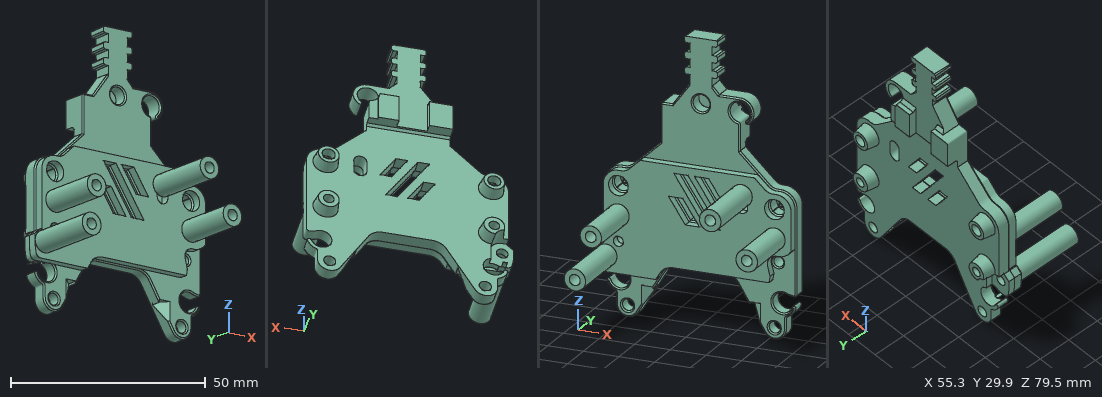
import cadquery as cq
import math

cover_thickness = 2.5
frame_thickness = 3.9
shoulder_thickness = 5.1
back_y = 7.4
edge_chamfer = 0.4
through = 23.8

side_x = 26.8
side_bottom_z = 12.15
corner_top_z = 41.25
corner_radius = 4.6
inner_corner_radius = 3.2
small_round = 0.6
waist_x = 20.1
torso_x = 10.9
torso_left_x = -11.3
torso_bottom_left_z = 49.35
torso_bottom_right_z = 50.1
shoulder_x = -8.0
shoulder_z = 60.2
right_shoulder_x = 5.1
neck_half_width = 3.1
neck_bottom_z = 66.8
total_height = 79.45

neck_root_z = neck_bottom_z - 0.8
neck_lean = 2
tooth_tops = [total_height, 75.1, 70.9]
tooth_height = 2.0
tooth_reach = 1.5
tooth_chamfer = 0.4

foot_x = 20.6
foot_radius = 3.25
foot_z = foot_radius
ankle_z = 6.75
leg_angle = math.radians(58.6)
arch_z = 16.0
arch_radius = 4.4

hook_bore_radius = 2.8
hook_outer_radius = 3.9
lower_hook_x = 22.8
lower_hook_z = 10.3
hook_mouth_x = 24.15
hook_mouth_z = 12.7
hook_mouth_round = 0.8
upper_hook_x = 10.8
upper_hook_z = 60.8

hole_x_left = -22.1
hole_x_right = 21.7
upper_hole_z = 36.6
lower_hole_z = 21.4
boss_base_diameter = 6.7
boss_tip_diameter = 5.5
screw_diameter = 3.4
pocket_diameter = 4.7
pocket_depth = 4
bridge_step = 0.3
small_hole_diameter = 2.8
foot_hole_diameter = 3.2
magnet_z = 61.6

standoff_diameter = 6.0
standoff_bore = 3.0
long_standoff = 20.0
short_standoff = 17.65
short_standoff_z = 28.6
corner_standoff = (-25.5, 17.1)
slot_standoff = (12.5, 39.1)
slot_bottom_z = 35.9

jut_x = corner_standoff[0] - standoff_diameter / 2
jut_thickness = 2.0
jut_bottom_z = 12.5
jut_top_z = 20.35
jut_inner_x = -24.6
jut_slope = 1.5
jut_bottom_corner = (jut_x + 0.5, jut_bottom_z)
jut_straight = 1.6
jut_corner = 1.4
relief_radius = 3.4

stop_bottom_z = 52.05
stop_top_z = 60.2
stop_left_x = -4.9
stop_right_x = 3.1
stop_end_x = 8.5
stop_step = 0.7
stop_ramp = 0.95
stop_fillet = 0.6

bevel_x = 16.7
bevel_top_z = 9.3
bevel_depth = 3.2

cover_top_x = 16.05
cover_top_z = 44.5
cover_waist_x = waist_x - 0.15

window_top_z = 42.35
window_bottom_z = 28.7
window_width = 4
window_lean = 0.66
window_pitch = 5.8
window_left_x = -6.5
short_window_height = 7.15


def slab(points, y_front, y_back):
    """A flat plate with an outline in X and Z, between two Y values."""
    outline = cq.Workplane("XZ", origin=(0, y_front, 0)).polyline(points).close()
    return outline.extrude(y_front - y_back)


def rod(center, diameter, y_front, y_back):
    """A cylinder along Y."""
    circle = cq.Workplane("XZ", origin=(0, y_front, 0)).center(*center).circle(diameter / 2)
    return circle.extrude(y_front - y_back)


def block(x_range, y_range, z_range):
    """An axis-aligned box between pairs of limits."""
    (x0, x1), (y0, y1), (z0, z1) = x_range, y_range, z_range
    return cq.Workplane("XY").box(x1 - x0, y1 - y0, z1 - z0, False).translate((x0, y0, z0))


def bore(center, diameter):
    """A cutter for a hole through every layer."""
    return rod(center, diameter, -through, through)


def round_corner(body, corner, y, radius):
    """Fillet the edge along Y that runs through a corner of the outline."""
    nearest = cq.NearestToPointSelector((corner[0], y, corner[1]))
    return body.edges("|Y").edges(nearest).fillet(radius)


def chamfered_bore(center, diameter, y_back):
    """A cutter for a hole with a chamfer at the frame's front face."""
    funnel = (
        cq.Workplane("XZ")
        .center(*center)
        .circle(diameter / 2 + edge_chamfer)
        .workplane(offset=-edge_chamfer)
        .circle(diameter / 2)
        .loft()
    )
    return rod(center, diameter, 0, y_back).union(funnel)


def leg_line(side, inset):
    """Points of the arch side: where the leg meets the arch top, and where it meets the foot."""
    reach = foot_radius - inset
    tangent_x = foot_x - reach * math.sin(leg_angle)
    tangent_z = foot_z - reach * math.cos(leg_angle)
    top_z = arch_z + inset
    top_x = tangent_x - (top_z - tangent_z) / math.tan(leg_angle)
    return (side * top_x, top_z), (side * tangent_x, tangent_z)


def hook_ring(center, opening_angles):
    """A C-shaped clip: a ring opened between two angles, with a rounded tip at the second."""
    middle_radius = (hook_bore_radius + hook_outer_radius) / 2
    width = hook_outer_radius - hook_bore_radius
    start, end = (math.radians(angle) for angle in opening_angles)
    reach = 3 * hook_outer_radius

    def polar(radius, angle):
        return (center[0] + radius * math.cos(angle), center[1] + radius * math.sin(angle))

    wedge = slab([center, polar(reach, start), polar(reach, end)], 0, back_y)
    ring = rod(center, 2 * hook_outer_radius, 0, back_y)
    ring = ring.cut(bore(center, 2 * hook_bore_radius)).cut(wedge)
    return ring.union(rod(polar(middle_radius, end), width, 0, back_y))


def frame_plate():
    """The frame's outline at its full depth, with the front edge chamfered."""
    right_arch, right_foot = leg_line(1, 0)
    left_arch, left_foot = leg_line(-1, 0)
    foot_side = foot_x + foot_radius
    hooks = [(side * lower_hook_x, lower_hook_z) for side in (-1, 1)]
    upper_hook = (upper_hook_x, upper_hook_z)
    upper_hook_top = upper_hook_z + hook_outer_radius
    outline = [
        (neck_half_width, neck_bottom_z),
        (right_shoulder_x, upper_hook_top),
        (upper_hook_x, upper_hook_top),
        (torso_x, upper_hook_z),
        (torso_x, torso_bottom_right_z),
        (waist_x, corner_top_z),
        (side_x, corner_top_z),
        (side_x, side_bottom_z),
        (hook_mouth_x, hook_mouth_z),
        hooks[1],
        (foot_side, ankle_z),
        (foot_side, foot_z),
        (foot_x, foot_z),
        right_foot,
        right_arch,
        left_arch,
        left_foot,
        (-foot_x, foot_z),
        (-foot_side, foot_z),
        (-foot_side, ankle_z),
        hooks[0],
        (-hook_mouth_x, hook_mouth_z),
        (-side_x, side_bottom_z),
        (-side_x, corner_top_z),
        (-waist_x, corner_top_z),
        (torso_left_x, torso_bottom_left_z),
        (torso_left_x, shoulder_z),
        (shoulder_x, shoulder_z),
        (-neck_half_width, neck_bottom_z),
    ]
    plate = slab(outline, 0, back_y)
    for side in (-1, 1):
        plate = plate.union(rod((side * foot_x, foot_z), 2 * foot_radius, 0, back_y))
    for center in [*hooks, upper_hook]:
        plate = plate.cut(bore(center, 2 * hook_bore_radius))
    plate = plate.union(hook_ring(hooks[1], (60, -19)))
    plate = plate.union(hook_ring(hooks[0], (120, 199)))
    plate = plate.union(hook_ring(upper_hook, (-89, -51)))
    y_middle = back_y / 2
    for corner in (right_arch, left_arch):
        plate = round_corner(plate, corner, y_middle, arch_radius)
    for side in (-1, 1):
        plate = round_corner(plate, (side * side_x, corner_top_z), y_middle, corner_radius)
        plate = round_corner(plate, (side * waist_x, corner_top_z), y_middle, inner_corner_radius)
        plate = round_corner(plate, (side * side_x, side_bottom_z), y_middle, hook_mouth_round)
        plate = round_corner(plate, (side * 24.3, hook_mouth_z), y_middle, hook_mouth_round)
        plate = round_corner(plate, (side * foot_side, 6.6), y_middle, small_round)
    plate = round_corner(plate, (torso_left_x, shoulder_z), y_middle, small_round)
    torso_corner_z = upper_hook_z - hook_bore_radius
    plate = round_corner(plate, (torso_x, torso_corner_z), y_middle, small_round)
    return plate.faces("<Y").edges().chamfer(edge_chamfer)


def neck():
    """The toothed neck: its back face and its teeth lean outward towards the top."""
    tip_x = neck_half_width + tooth_reach
    depth = 2 * back_y
    pivot = (0, shoulder_thickness, neck_bottom_z)
    bar_height = total_height + 0.8 - neck_root_z
    bar = block((-neck_half_width, neck_half_width), (-depth, 0), (0, bar_height))
    bar = bar.translate((0, shoulder_thickness, neck_root_z))
    for tooth_top in tooth_tops:
        tooth = block((-tip_x, tip_x), (-depth, 0), (0, tooth_height))
        tooth = tooth.edges("|Y").chamfer(tooth_chamfer)
        bar = bar.union(tooth.translate((0, shoulder_thickness, tooth_top - tooth_height)))
    bar = bar.rotate(pivot, (1, pivot[1], pivot[2]), -neck_lean)
    limits = block((-tip_x, tip_x), (0, back_y), (neck_root_z, total_height))
    return bar.intersect(limits)


def mill_back(plate):
    """Cut the full-depth plate back to the lower body, the shoulders and two stop blocks."""
    deep = 2 * back_y
    below_stops = [
        (frame_thickness, -0.8),
        (frame_thickness, stop_bottom_z - stop_fillet),
        (frame_thickness + stop_fillet, stop_bottom_z),
        (deep, stop_bottom_z),
        (deep, -0.8),
    ]
    above_stops = [
        (shoulder_thickness, total_height),
        (shoulder_thickness, stop_top_z + stop_ramp),
        (shoulder_thickness + stop_ramp, stop_top_z),
        (deep, stop_top_z),
        (deep, total_height),
    ]
    for profile in (below_stops, above_stops):
        outline = cq.Workplane("YZ").polyline(profile).close()
        plate = plate.cut(outline.extrude(2 * side_x, both=True))
    for x_range, floor_y in [
        ((stop_left_x, stop_right_x), shoulder_thickness),
        ((stop_end_x, torso_x), back_y - stop_step),
        ((torso_x, side_x), shoulder_thickness),
    ]:
        plate = plate.cut(block(x_range, (floor_y, deep), (0, total_height)))
    return plate


def jut_outline():
    """Outline of the corner tab, reaching into the body behind it."""
    return [
        (jut_inner_x, jut_top_z),
        (-side_x, jut_top_z),
        (jut_x, jut_top_z - jut_slope),
        (jut_x, corner_standoff[1] - jut_straight),
        jut_bottom_corner,
        (jut_inner_x, jut_bottom_z),
    ]


def jut():
    """The thin corner tab under the corner standoff."""
    tab = slab(jut_outline(), 0, jut_thickness)
    return round_corner(tab, jut_bottom_corner, jut_thickness / 2, jut_corner)


def boss(center):
    """A tapered boss on the frame's back face."""
    start = cq.Workplane("XZ", origin=(0, frame_thickness, 0)).center(*center)
    height = back_y - frame_thickness
    base = start.circle(boss_base_diameter / 2)
    return base.workplane(offset=-height).circle(boss_tip_diameter / 2).loft()


def bolt_hole(center):
    """A cutter for a pocketed screw hole whose floor steps in over two flats, then a square."""
    x, z = center
    half = screw_diameter / 2
    wide = pocket_diameter / 2
    slot_end = pocket_depth + bridge_step
    flats = block((x - wide, x + wide), (0, slot_end), (z - half, z + half))
    flats = flats.intersect(rod(center, pocket_diameter, 0, slot_end))
    square = block((x - half, x + half), (0, slot_end + bridge_step), (z - half, z + half))
    cutter = chamfered_bore(center, pocket_diameter, pocket_depth).union(flats).union(square)
    return cutter.union(bore(center, screw_diameter))


def leg_bevel(side):
    """A cutter that slopes the front of a leg down towards the arch."""
    profile = [(bevel_x, 0), (bevel_x - bevel_depth, 0), (bevel_x - bevel_depth, bevel_depth)]
    wedge = cq.Workplane("XY").polyline([(side * x, y) for x, y in profile]).close()
    return wedge.extrude(bevel_top_z)


def windows():
    """Outlines of the three slanted windows on the frame's front face."""
    tall = window_top_z - window_bottom_z
    places = [
        (window_left_x, window_top_z, tall),
        (window_left_x + window_pitch, window_top_z, short_window_height),
        (
            window_left_x - window_pitch + window_lean * (tall - short_window_height),
            window_bottom_z + short_window_height,
            short_window_height,
        ),
    ]
    outlines = []
    for left, top, height in places:
        bottom_left = left + window_lean * height
        outline = [
            (left, top),
            (left + window_width, top),
            (bottom_left + window_width, top - height),
            (bottom_left, top - height),
        ]
        outlines.append(cq.Workplane("XZ").polyline(outline).close())
    return outlines


def standoff_slot():
    """A cutter for the upright slot behind the upper standoff."""
    x, top_z = slot_standoff
    slot = bore((x, top_z), screw_diameter).union(bore((x, slot_bottom_z), screw_diameter))
    half = screw_diameter / 2
    return slot.union(block((x - half, x + half), (-through, through), (slot_bottom_z, top_z)))


def make_frame():
    """The frame with its neck, hooks, bosses, holes and windows."""
    frame = mill_back(frame_plate())
    frame = frame.union(neck()).union(jut())
    for x in (hole_x_left, hole_x_right):
        for z in (upper_hole_z, lower_hole_z):
            frame = frame.union(boss((x, z)))
    x, z = corner_standoff
    relief_y = (jut_thickness, back_y)
    frame = frame.cut(rod(corner_standoff, 2 * relief_radius, *relief_y))
    frame = frame.cut(block((jut_x, x + relief_radius), relief_y, (jut_bottom_z, z)))
    frame = frame.cut(block((2 * jut_x, x), relief_y, (jut_bottom_z, z + relief_radius)))
    for x in (hole_x_left, hole_x_right):
        frame = frame.cut(bolt_hole((x, upper_hole_z)))
    frame = frame.cut(bore((hole_x_left, lower_hole_z), small_hole_diameter))
    frame = frame.cut(chamfered_bore((hole_x_right, lower_hole_z), small_hole_diameter, through))
    for side in (-1, 1):
        frame = frame.cut(chamfered_bore((side * foot_x, foot_z), foot_hole_diameter, through))
        frame = frame.cut(leg_bevel(side))
    frame = frame.cut(chamfered_bore((0, magnet_z), pocket_diameter, pocket_depth))
    frame = frame.cut(bore(corner_standoff, standoff_bore)).cut(standoff_slot())
    for window in windows():
        frame = frame.cut(window.extrude(-edge_chamfer, taper=45))
    for window in windows():
        frame = frame.cut(window.offset2D(-edge_chamfer, "intersection").extrude(-frame_thickness))
    return frame


def make_cover():
    """The flat cover, inset from the frame by the width of the frame's edge chamfer."""
    edge_x = side_x - edge_chamfer
    top_z = corner_top_z - edge_chamfer
    right_arch, _ = leg_line(1, edge_chamfer)
    left_arch, left_foot = leg_line(-1, edge_chamfer)
    lean = (left_arch[0] - left_foot[0]) / (left_arch[1] - left_foot[1])
    leg_x = left_arch[0] - lean * (left_arch[1] - jut_bottom_z)
    outline = (
        cq.Workplane("XZ")
        .moveTo(-cover_top_x, cover_top_z)
        .lineTo(cover_top_x, cover_top_z)
        .lineTo(cover_waist_x, top_z)
        .lineTo(edge_x, top_z)
        .lineTo(edge_x, 25.7)
        .threePointArc((24.6, 24.3), (22.65, 23.8))
        .threePointArc((20.3, 23.0), (19.8, 20.8))
        .lineTo(20.5, 18.1)
        .lineTo(20.2, right_arch[1])
        .lineTo(*left_arch)
        .lineTo(leg_x, jut_bottom_z)
    )
    for x, z in reversed(jut_outline()[1:-1]):
        outline = outline.lineTo(x, z)
    outline = outline.lineTo(-edge_x, jut_top_z).lineTo(-edge_x, top_z).lineTo(-cover_waist_x, top_z)
    cover = outline.close().extrude(cover_thickness)
    y_middle = -cover_thickness / 2
    cover = round_corner(cover, left_arch, y_middle, arch_radius)
    cover = round_corner(cover, jut_bottom_corner, y_middle, jut_corner)
    for side in (-1, 1):
        cover = round_corner(cover, (side * edge_x, top_z), y_middle, corner_radius - edge_chamfer)
        cover = round_corner(cover, (side * cover_waist_x, top_z), y_middle, inner_corner_radius)
        cover = round_corner(cover, (side * cover_top_x, cover_top_z), y_middle, small_round)
    for x in (hole_x_left, hole_x_right):
        cover = cover.cut(bore((x, upper_hole_z), pocket_diameter + 2 * edge_chamfer))
    cover = cover.cut(bore((hole_x_left, lower_hole_z), small_hole_diameter))
    cover = cover.cut(bore(corner_standoff, standoff_bore)).cut(standoff_slot())
    for window in windows():
        cover = cover.cut(window.extrude(cover_thickness))
    return cover


def make_standoff(center, length):
    """A tubular spacer standing on the front of the cover."""
    tube = rod(center, standoff_diameter, -cover_thickness - length, -cover_thickness)
    return tube.cut(bore(center, standoff_bore))


frame = make_frame()
cover = make_cover()
standoffs = [
    make_standoff(center, length)
    for center, length in [
        (corner_standoff, long_standoff),
        (slot_standoff, long_standoff),
        ((hole_x_left, short_standoff_z), short_standoff),
        ((hole_x_right, short_standoff_z), short_standoff),
    ]
]

result = cq.Compound.makeCompound([frame.val(), cover.val(), *[tube.val() for tube in standoffs]])